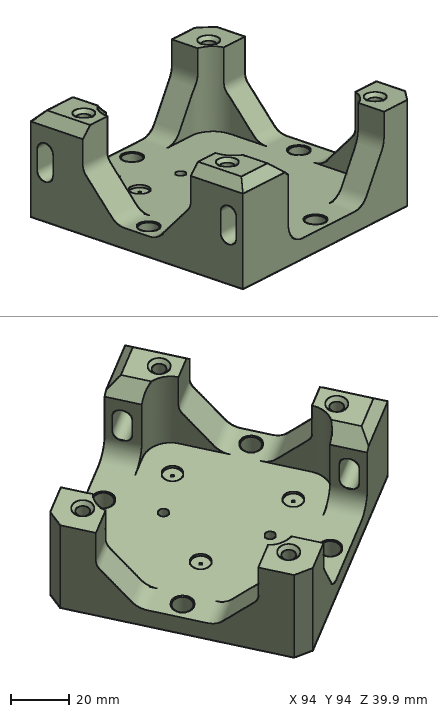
import cadquery as cq

side = 94.0
height = 39.9
floor_height = 7.9
half = side / 2
level_tolerance = 0.1
overcut = 4.7

foot_radius = 7.5
ramp_top_radius = 5.0
side_ramp_top_radius = 8.9
front_half_width = 23.9
front_ramp_foot = 8.8
rear_half_width = 29.0
rear_ramp_foot = front_ramp_foot + rear_half_width - front_half_width
ramp_top = 24.2
side_rear_wall = 29.2
side_ramp_foot = 17.7
side_ramp_top = 27.8
side_front_wall = -22.5
side_bevel_base = 34.5
side_bevel_end = -28.9

rear_pocket_half = 35.9
rear_pocket_radius = 9.4
front_pocket_half = 33.6
front_pocket_radius = 10.0

rear_corner_chamfer = 5.2
front_top_chamfer = 3.95

slot_x = 40.6
slot_width = 7.05
slot_length = 14.6
slot_center_z = 22.4

rear_post_hole = 36.8
front_post_hole_x = 31.8
front_post_hole_y = 36.8
post_hole_diameter = 5.1
post_sink_diameter = 7.9

edge_hole_offset = 40.6
edge_hole_diameter = 7.5
edge_hole_chamfer = 0.4
dowel_x = 19.1
dowel_diameter = 3.9
recess_rear_y = 19.1
recess_front_x = 21.6
recess_front_y = -19.1
recess_diameter = 7.5
recess_depth = 1.0
recess_hole_diameter = 1.0


def half_space(direction):
    """Box that covers the rear (1) or front (-1) half of the block."""
    return cq.Workplane("XY").center(0, direction * half / 2).rect(side, half).extrude(height)


def make_block():
    """Solid block with cut rear corners and bevelled front top edges."""
    rear = half_space(1).edges("|Z and >Y").chamfer(rear_corner_chamfer)
    front = half_space(-1).faces(">Z").edges("<Y or <X or >X").chamfer(front_top_chamfer)
    return rear.union(front)


def edges_at(level):
    """Selector for the edges lying at one height."""
    return cq.selectors.BoxSelector(
        (-side, -side, level - level_tolerance),
        (side, side, level + level_tolerance),
    )


def ramped_opening(half_width, ramp_foot):
    """Cutter along Y from the centre: straight walls, then ramps down to the floor."""
    cutter = (
        cq.Workplane("XZ")
        .moveTo(-half_width, height + overcut)
        .lineTo(-half_width, ramp_top)
        .lineTo(-ramp_foot, floor_height)
        .lineTo(ramp_foot, floor_height)
        .lineTo(half_width, ramp_top)
        .lineTo(half_width, height + overcut)
        .close()
        .extrude(half + overcut)
    )
    cutter = cutter.edges("|Y and <Z").fillet(foot_radius)
    return cutter.edges(edges_at(ramp_top)).fillet(ramp_top_radius)


def side_opening():
    """Cutter along X through both side walls, ramped at the rear and bevelled at the front."""
    cutter = (
        cq.Workplane("YZ")
        .moveTo(side_rear_wall, height + overcut)
        .lineTo(side_rear_wall, side_ramp_top)
        .lineTo(side_ramp_foot, floor_height)
        .lineTo(side_front_wall, floor_height)
        .lineTo(side_front_wall, height + overcut)
        .close()
        .extrude(half + overcut, both=True)
    )
    cutter = cutter.edges("|X and <Z").fillet(foot_radius)
    cutter = cutter.edges(edges_at(side_ramp_top)).fillet(side_ramp_top_radius)
    bevel = (
        cq.Workplane("YZ")
        .moveTo(side_front_wall, side_bevel_base)
        .lineTo(side_bevel_end, height)
        .lineTo(side_front_wall, height)
        .close()
        .extrude(half + overcut, both=True)
    )
    return cutter.union(bevel)


def pocket_half(half_size, radius, direction):
    """Rounded square pocket, kept on the rear (1) or front (-1) side of the centre."""
    pocket = (
        cq.Workplane("XY", origin=(0, 0, floor_height))
        .rect(2 * half_size, 2 * half_size)
        .extrude(height)
        .edges("|Z")
        .fillet(radius)
    )
    return pocket.intersect(half_space(direction))


def front_slots():
    """Upright slots from the front face into the side openings."""
    return (
        cq.Workplane("XZ", origin=(0, -half, slot_center_z))
        .pushPoints([(-slot_x, 0), (slot_x, 0)])
        .slot2D(slot_length, slot_width, 90)
        .extrude(-(half + side_front_wall))
    )


def chamfered_holes(points, top, bore, mouth):
    """Through holes with a 45 degree conical mouth at the given top height."""
    depth = (mouth - bore) / 2
    bores = cq.Workplane("XY").pushPoints(points).circle(bore / 2).extrude(top)
    mouths = (
        cq.Workplane("XY", origin=(0, 0, top))
        .pushPoints(points)
        .circle(mouth / 2)
        .extrude(-depth, taper=45)
    )
    return bores.union(mouths)


body = make_block()

body = body.cut(ramped_opening(front_half_width, front_ramp_foot))
rear_opening = ramped_opening(rear_half_width, rear_ramp_foot)
body = body.cut(rear_opening.mirror("XZ"))
body = body.cut(side_opening())

body = body.cut(pocket_half(rear_pocket_half, rear_pocket_radius, 1))
body = body.cut(pocket_half(front_pocket_half, front_pocket_radius, -1))
body = body.cut(front_slots())

post_points = []
for sign in (-1, 1):
    post_points.append((sign * rear_post_hole, rear_post_hole))
    post_points.append((sign * front_post_hole_x, -front_post_hole_y))
body = body.cut(chamfered_holes(post_points, height, post_hole_diameter, post_sink_diameter))

edge_points = []
for sign in (-1, 1):
    edge_points.append((sign * edge_hole_offset, 0))
    edge_points.append((0, sign * edge_hole_offset))
edge_mouth = edge_hole_diameter + 2 * edge_hole_chamfer
body = body.cut(chamfered_holes(edge_points, floor_height, edge_hole_diameter, edge_mouth))

floor_plane = cq.Workplane("XY", origin=(0, 0, floor_height))
dowels = floor_plane.pushPoints([(-dowel_x, 0), (dowel_x, 0)]).circle(dowel_diameter / 2)
body = body.cut(dowels.extrude(-floor_height))

recess_points = [
    (0, recess_rear_y),
    (-recess_front_x, recess_front_y),
    (recess_front_x, recess_front_y),
]
recesses = floor_plane.pushPoints(recess_points)
body = body.cut(recesses.circle(recess_diameter / 2).extrude(-recess_depth))
body = body.cut(recesses.circle(recess_hole_diameter / 2).extrude(-floor_height))

result = body